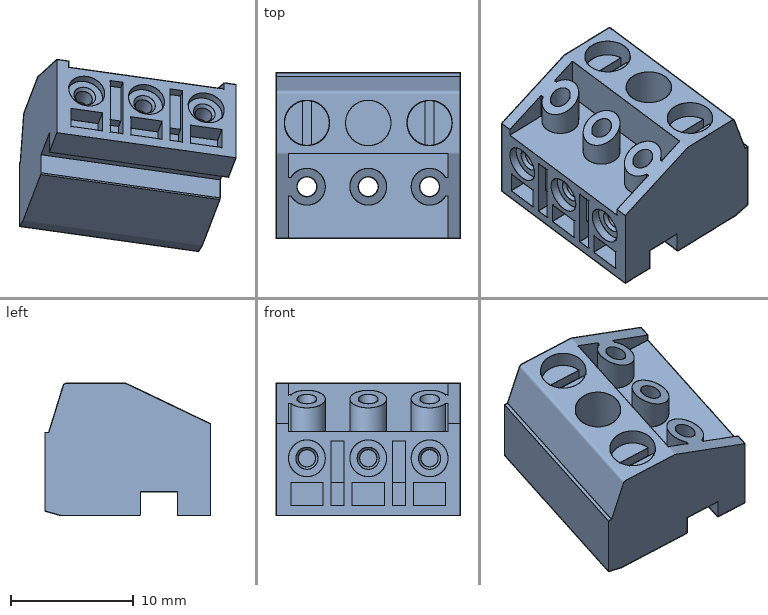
import cadquery as cq

WIDTH = 15.0
DEPTH = 13.5
HEIGHT = 10.8
PITCH = 5.0
POLES = 3

FRONT_HEIGHT = 7.5
TOP_FRONT_Y = 6.9
TOP_BACK_Y = 11.96
BACK_STEP_HEIGHT = 6.8
BACK_STEP_DEPTH = 0.3
BASE_BACK_Y = 12.2
BASE_BEVEL_RISE = 0.37
TOP_EDGE_RADIUS = 0.3

GROOVE_FRONT_Y = 2.7
GROOVE_BACK_Y = 5.7
GROOVE_HEIGHT = 1.95
GROOVE_EDGE_CHAMFER = 0.1

SIDE_WALL = 1.0
RECESS_FLOOR_Z = 6.87
TUBE_Y = 4.2
TUBE_DIAMETER = 3.0
TUBE_BORE = 1.6
WEB_THICKNESS = 1.5

WELL_Y = 9.4
WELL_DIAMETER = 3.7
WELL_DEPTH = 6.0
SCREW_DIAMETER = 3.65
SCREW_TOP_DEPTH = 1.5
SCREW_SLOT_WIDTH = 0.72
SCREW_SLOT_DEPTH = 1.0

ENTRY_Z = 4.68
ENTRY_DIAMETER = 3.0
ENTRY_DEPTH = 0.7
ENTRY_TAPER_DIAMETER = 1.8
ENTRY_END_DIAMETER = 1.4
ENTRY_TAPER_DEPTH = 0.3
ENTRY_END_DEPTH = 1.5

POCKET_BOTTOM_Z = 0.85
POCKET_WIDTH = 2.62
POCKET_HEIGHT = 1.84
POCKET_DEPTH = 1.5
POCKET_TOP_Z = POCKET_BOTTOM_Z + POCKET_HEIGHT
SLOT_WIDTH = 1.05
SLOT_TOP_Z = 6.1
SLOT_UPPER_DEPTH = 0.75
SLOT_LOWER_DEPTH = 1.5


def centered_positions(count):
    """X positions of a centred row at the pole pitch."""
    return [(i - (count - 1) / 2) * PITCH for i in range(count)]


pole_xs = centered_positions(POLES)
gap_xs = centered_positions(POLES - 1)


def box(x, width, y_min, y_max, z_min, z_max):
    """Box centred on x, spanning the given Y and Z ranges."""
    size = (width, y_max - y_min, z_max - z_min)
    return cq.Workplane("XY").box(*size, centered=(True, False, False)).translate((x, y_min, z_min))


def post(x, y, diameter, z_min, z_max):
    """Upright cylinder between two heights."""
    return cq.Workplane("XY", origin=(x, y, z_min)).circle(diameter / 2).extrude(z_max - z_min)


def make_profile_block():
    """Extruded side profile with softened top edges and the base groove."""
    outline = [
        (0, 0),
        (GROOVE_FRONT_Y, 0),
        (GROOVE_FRONT_Y, GROOVE_HEIGHT),
        (GROOVE_BACK_Y, GROOVE_HEIGHT),
        (GROOVE_BACK_Y, GROOVE_EDGE_CHAMFER),
        (GROOVE_BACK_Y + GROOVE_EDGE_CHAMFER, 0),
        (BASE_BACK_Y, 0),
        (DEPTH, BASE_BEVEL_RISE),
        (DEPTH, BACK_STEP_HEIGHT),
        (DEPTH - BACK_STEP_DEPTH, BACK_STEP_HEIGHT),
        (TOP_BACK_Y, HEIGHT),
        (TOP_FRONT_Y, HEIGHT),
        (0, FRONT_HEIGHT),
    ]
    block = cq.Workplane("YZ").polyline(outline).close().extrude(WIDTH / 2, both=True)
    return block.faces(">Z").edges("|X").fillet(TOP_EDGE_RADIUS)


def make_recess():
    """Space between the side walls, around the tubes and their webs."""
    recess = box(0, WIDTH - 2 * SIDE_WALL, 0, TOP_FRONT_Y, RECESS_FLOOR_Z, HEIGHT)
    for x in pole_xs:
        recess = recess.cut(post(x, TUBE_Y, TUBE_DIAMETER, RECESS_FLOOR_Z, HEIGHT))
    web_length = WIDTH / 2 - pole_xs[-1]
    for side in (-1, 1):
        web_x = side * (WIDTH / 2 - web_length / 2)
        web_front = TUBE_Y - WEB_THICKNESS / 2
        web_back = TUBE_Y + WEB_THICKNESS / 2
        recess = recess.cut(box(web_x, web_length, web_front, web_back, RECESS_FLOOR_Z, HEIGHT))
    return recess


def make_screw(x):
    """Slotted screw filling the lower part of a well."""
    top = HEIGHT - SCREW_TOP_DEPTH
    screw = post(x, WELL_Y, SCREW_DIAMETER, HEIGHT - WELL_DEPTH, top)
    half = WELL_DIAMETER / 2
    slot = box(x, SCREW_SLOT_WIDTH, WELL_Y - half, WELL_Y + half, top - SCREW_SLOT_DEPTH, top)
    return screw.cut(slot)


def make_wire_entry(x):
    """Counterbored entry that tapers into a blind hole."""
    taper_end = ENTRY_DEPTH + ENTRY_TAPER_DEPTH
    hole_end = taper_end + ENTRY_END_DEPTH
    half_section = [
        (0, 0),
        (ENTRY_DIAMETER / 2, 0),
        (ENTRY_DIAMETER / 2, ENTRY_DEPTH),
        (ENTRY_TAPER_DIAMETER / 2, ENTRY_DEPTH),
        (ENTRY_END_DIAMETER / 2, taper_end),
        (ENTRY_END_DIAMETER / 2, hole_end),
        (0, hole_end),
    ]
    section = cq.Workplane("XY").polyline(half_section).close()
    return section.revolve(360, (0, 0), (0, 1)).translate((x, 0, ENTRY_Z))


def make_slot(x):
    """Narrow front slot, deeper in its lower part."""
    upper = box(x, SLOT_WIDTH, 0, SLOT_UPPER_DEPTH, POCKET_TOP_Z, SLOT_TOP_Z)
    lower = box(x, SLOT_WIDTH, 0, SLOT_LOWER_DEPTH, POCKET_BOTTOM_Z, POCKET_TOP_Z)
    return upper.union(lower)


result = make_profile_block().cut(make_recess())

for x in pole_xs:
    result = result.cut(post(x, TUBE_Y, TUBE_BORE, 0, HEIGHT))
    result = result.cut(post(x, WELL_Y, WELL_DIAMETER, HEIGHT - WELL_DEPTH, HEIGHT))
    result = result.cut(make_wire_entry(x))
    result = result.cut(box(x, POCKET_WIDTH, 0, POCKET_DEPTH, POCKET_BOTTOM_Z, POCKET_TOP_Z))

for x in (pole_xs[0], pole_xs[-1]):
    result = result.union(make_screw(x))

for x in gap_xs:
    result = result.cut(make_slot(x))